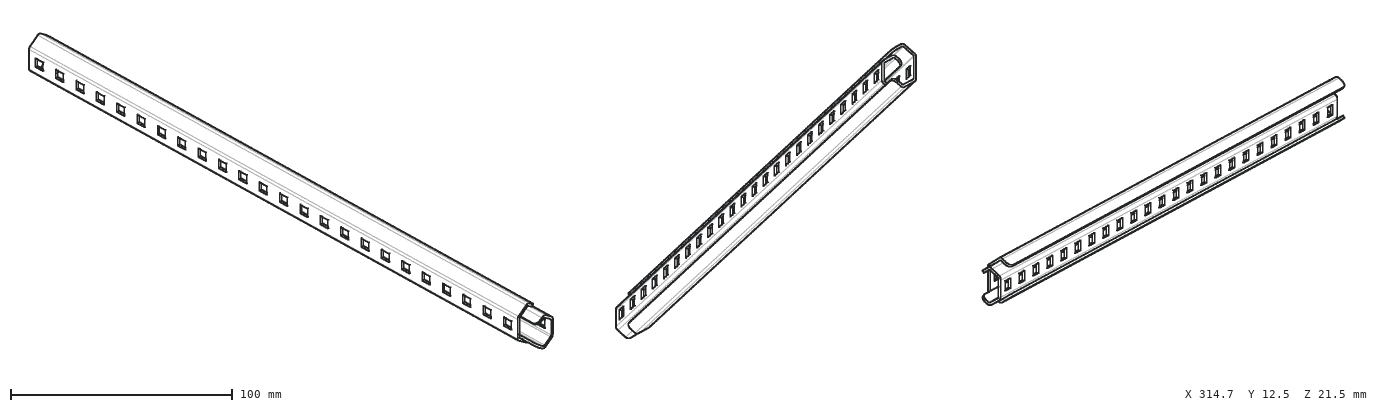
import cadquery as cq
import math

TOTAL_LENGTH = 314.7
TOTAL_DEPTH = 12.5
TOTAL_HEIGHT = 21.5

CHANNEL_SHIFT = 10.0
CHANNEL_LENGTH = TOTAL_LENGTH - CHANNEL_SHIFT
SHEET = 1.3
SLOPE = math.radians(36)
SLOPED_SHEET_HEIGHT = SHEET / math.cos(SLOPE)
RIDGE_Y = 0.3
LIP_CORNER_RADIUS = 2.8
EDGE_TOLERANCE = SHEET / 10

OUTER_BEND_RADIUS = 1.5
OUTER_LIP_REACH = 5.0
OUTER_RIDGE_Z = TOTAL_HEIGHT / 2 + OUTER_BEND_RADIUS * (1 / math.cos(SLOPE) - 1)

INNER_BEND_RADIUS = 2.2
INNER_LIP_REACH = 4.7
INNER_RIDGE_Z = OUTER_RIDGE_Z - SLOPED_SHEET_HEIGHT

HOLE_COUNT = 24
HOLE_SIZE = 4.7
HOLE_PITCH = CHANNEL_LENGTH / HOLE_COUNT
PUNCH_DEPTH = 3 * SHEET


def folded_sheet(web_distance, outside_ridge_z, bend_radius, lip_reach):
    """Channel starting at X = 0: web at Y = -web_distance, ridges at Y = 0, lips toward +Y."""
    rise = math.tan(SLOPE)
    inside_ridge_z = outside_ridge_z - SLOPED_SHEET_HEIGHT
    inside_web_distance = web_distance - SHEET
    inside_lip_reach = lip_reach - SHEET * math.sin(SLOPE)

    outside_web_corner = (-web_distance, outside_ridge_z - web_distance * rise)
    outside_ridge = (0, outside_ridge_z)
    outside_lip_edge = (lip_reach, outside_ridge_z - lip_reach * rise)
    inside_lip_edge = (inside_lip_reach, inside_ridge_z - inside_lip_reach * rise)
    inside_ridge = (0, inside_ridge_z)
    inside_web_corner = (-inside_web_distance, inside_ridge_z - inside_web_distance * rise)

    upper_half = [
        outside_web_corner,
        outside_ridge,
        outside_lip_edge,
        inside_lip_edge,
        inside_ridge,
        inside_web_corner,
    ]
    lower_half = [(y, -z) for y, z in reversed(upper_half)]
    sheet = cq.Workplane("YZ").polyline(upper_half + lower_half).close().extrude(CHANNEL_LENGTH)

    sheet = round_bends(sheet, [outside_web_corner, outside_ridge], bend_radius)
    sheet = round_bends(sheet, [inside_web_corner, inside_ridge], bend_radius - SHEET)
    return round_lip_corners(sheet, (lip_reach + inside_lip_reach) / 2)


def round_bends(sheet, bend_lines, radius):
    """Fillet the lengthwise edges at the given (y, z) bend lines and their mirrors below."""

    def is_bend(edge):
        center = edge.Center()
        return any(math.hypot(center.y - y, abs(center.z) - z) < EDGE_TOLERANCE for y, z in bend_lines)

    bends = [edge for edge in sheet.edges("|X").vals() if is_bend(edge)]
    return sheet.newObject(bends).fillet(radius)


def round_lip_corners(sheet, free_edge_y):
    """Round both end corners of the upper and lower lips."""
    end_edges = sheet.faces("<X or >X").edges().vals()
    corners = [edge for edge in end_edges if abs(edge.Center().y - free_edge_y) < EDGE_TOLERANCE]
    return sheet.newObject(corners).fillet(LIP_CORNER_RADIUS)


def punch_holes(sheet, web_distance):
    """Cut the row of square holes through the web only."""
    for index in range(HOLE_COUNT):
        hole_x = (index + 0.5) * HOLE_PITCH
        punch = cq.Workplane("XY").box(HOLE_SIZE, PUNCH_DEPTH, HOLE_SIZE)
        sheet = sheet.cut(punch.translate((hole_x, -web_distance, 0)))
    return sheet


def make_outer_channel():
    """Channel with its web at -Y whose lips wrap over the inner channel."""
    web_distance = TOTAL_DEPTH / 2 + RIDGE_Y
    channel = folded_sheet(web_distance, OUTER_RIDGE_Z, OUTER_BEND_RADIUS, OUTER_LIP_REACH)
    channel = punch_holes(channel, web_distance)
    return channel.translate((-TOTAL_LENGTH / 2, RIDGE_Y, 0))


def make_inner_channel():
    """Channel with its web at +Y, facing the outer one and shifted along +X."""
    web_distance = TOTAL_DEPTH / 2 - RIDGE_Y
    channel = folded_sheet(web_distance, INNER_RIDGE_Z, INNER_BEND_RADIUS, INNER_LIP_REACH)
    channel = punch_holes(channel, web_distance).mirror("XZ")
    return channel.translate((CHANNEL_SHIFT - TOTAL_LENGTH / 2, RIDGE_Y, 0))


outer_channel = make_outer_channel()
inner_channel = make_inner_channel()

result = cq.Compound.makeCompound([outer_channel.val(), inner_channel.val()])